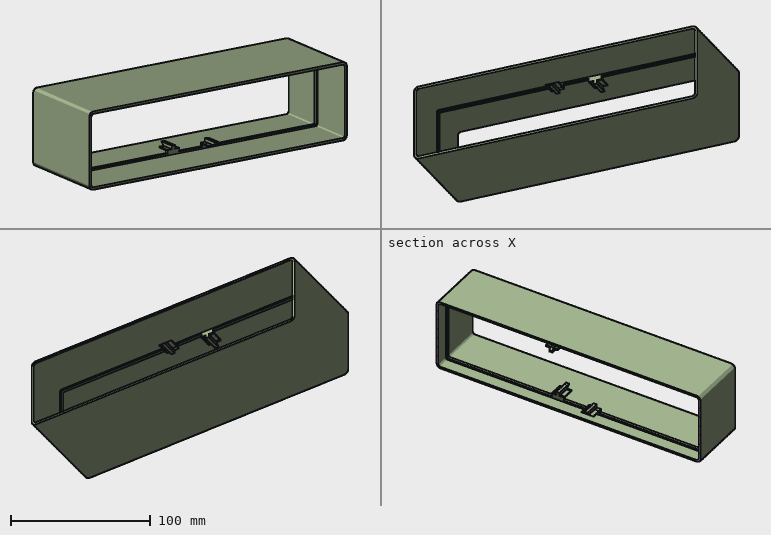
import cadquery as cq

depth = 71.5
length = 223.0
height = 58.7
wall = 2.0
outer_radius = 4.0
inner_radius = outer_radius - wall

rib_thickness = 2.2
rib_height = 1.3
rib_corner_radius = inner_radius - rib_height

arm_spacing = 30.1
arm_width = 10.0
arm_rise = 2.7
arm_thickness = 0.7
arm_reach = 8.5
web_width = 2.7
web_height = 2.7
tip_run = 2.7

tip_slope = tip_run / web_height
rib_edge = height / 2 - wall - rib_height
rib_back = -rib_thickness / 2
rib_front = rib_thickness / 2


def rounded_bar(x_length, y_length, z_length, radius):
    return cq.Workplane("XY").box(x_length, y_length, z_length).edges("|X").fillet(radius)


def sleeve():
    outside = rounded_bar(depth, length, height, outer_radius)
    cavity = rounded_bar(depth, length - 2 * wall, height - 2 * wall, inner_radius)
    return outside.cut(cavity)


def rib():
    inset = wall + rib_height
    ring = rounded_bar(rib_thickness, length - 2 * wall, height - 2 * wall, inner_radius)
    opening = rounded_bar(rib_thickness, length - 2 * inset, height - 2 * inset, rib_corner_radius)
    return ring.cut(opening)


def snap_arm():
    """Arm on the lower run of the rib, centred on Y and reaching toward +X."""
    foot_z = -rib_edge - rib_height
    plate_top = -rib_edge + arm_rise
    plate_bottom = plate_top - arm_thickness
    web_top = plate_top + web_height
    plate_tip = rib_front + arm_reach
    plate = (
        cq.Workplane("XZ")
        .moveTo(rib_back, foot_z)
        .lineTo(rib_front, foot_z)
        .lineTo(rib_front, plate_bottom)
        .lineTo(plate_tip - arm_thickness * tip_slope, plate_bottom)
        .lineTo(plate_tip, plate_top)
        .lineTo(rib_back, plate_top)
        .close()
        .extrude(arm_width / 2, both=True)
    )
    web = (
        cq.Workplane("XZ")
        .moveTo(rib_back, plate_bottom)
        .lineTo(plate_tip - arm_thickness * tip_slope, plate_bottom)
        .lineTo(plate_tip + tip_run, web_top)
        .lineTo(rib_back, web_top)
        .close()
        .extrude(web_width / 2, both=True)
    )
    return plate.union(web)


result = sleeve().union(rib())

lower_arm = snap_arm().translate((0, arm_spacing / 2, 0))
for axis, angle in [((0, 0, 1), 0), ((0, 0, 1), 180), ((1, 0, 0), 180), ((0, 1, 0), 180)]:
    arm = lower_arm.rotate((0, 0, 0), axis, angle)
    result = result.union(arm)